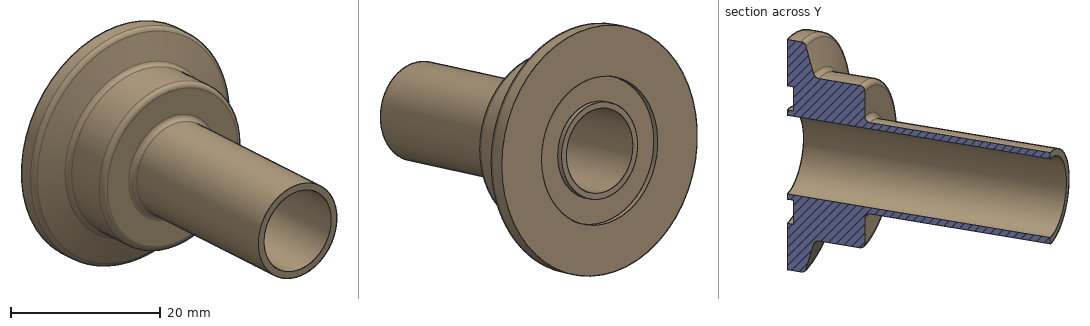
import cadquery as cq
import math

length = 38.0
flange_diameter = 34.0
flange_radius = flange_diameter / 2
hub_radius = 12.0
tube_radius = 6.75
bore_radius = 5.78

rim_corner_x = 2.55
back_angle = 16.0
rim_fillet = 0.75
neck_fillet = 0.75

hub_end_x = 11.2
hub_fillet = 0.75
tube_fillet = 0.75

recess_radius = 10.1
collar_radius = 6.6
recess_depth = 0.85


def round_edge(solid, radius, x, fillet_radius):
    """Fillet the circular edge of the given radius lying at station x."""
    tolerance = 0.005

    def matches(edge):
        same_station = abs(edge.Center().x - x) < tolerance
        return same_station and abs(edge.radius() - radius) < tolerance

    return solid.edges("%CIRCLE").filter(matches).fillet(fillet_radius)


back_run = (flange_radius - hub_radius) * math.tan(math.radians(back_angle))
neck_x = rim_corner_x + back_run
body = (
    cq.Workplane("XY")
    .moveTo(0, 0)
    .lineTo(0, flange_radius)
    .lineTo(rim_corner_x, flange_radius)
    .lineTo(neck_x, hub_radius)
    .lineTo(hub_end_x, hub_radius)
    .lineTo(hub_end_x, tube_radius)
    .lineTo(length, tube_radius)
    .lineTo(length, 0)
    .close()
    .revolve(360, (0, 0, 0), (1, 0, 0))
)

body = round_edge(body, flange_radius, rim_corner_x, rim_fillet)
body = round_edge(body, hub_radius, neck_x, neck_fillet)
body = round_edge(body, hub_radius, hub_end_x, hub_fillet)
body = round_edge(body, tube_radius, hub_end_x, tube_fillet)

recess = cq.Workplane("YZ").circle(recess_radius).circle(collar_radius).extrude(recess_depth)
bore = cq.Workplane("YZ").circle(bore_radius).extrude(length)
result = body.cut(recess).cut(bore)